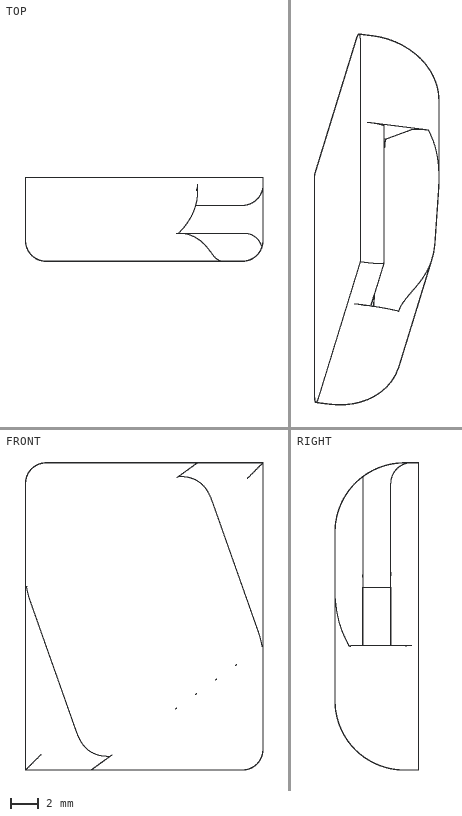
import cadquery as cq
import math

width = 17.0
depth = 6.0
height = 22.0
half_width = width / 2
half_height = height / 2

end_radius = 5.0
edge_radius = 1.5

slot_back = 2.0
slot_front = 4.0

mouth_height = 13.07
mouth_width = 12.32
lip_width = 4.62


def half_turn(shape):
    """Turn a shape to the opposite corner; the part repeats by a half turn about Y."""
    return shape.rotate((0, 0, 0), (0, 1, 0), 180)


def make_body():
    """Cover block with large end rounds and smaller rounds around both sides."""
    block = cq.Workplane("XZ").rect(width, height).extrude(depth)
    block = block.faces("<Y").edges("|X").fillet(end_radius)
    side_edges = block.faces("<X or >X").edges("not(>Y)")
    return side_edges.fillet(edge_radius)


def make_band(thickness):
    """Diagonal strap path, from the back forward."""
    wall_side_z = mouth_height - half_height
    wall_top_x = mouth_width - half_width
    outline = [
        (-half_width, wall_side_z),
        (wall_top_x, half_height),
        (half_width, half_height),
        (half_width, -wall_side_z),
        (-wall_top_x, -half_height),
        (-half_width, -half_height),
    ]
    return cq.Workplane("XZ").polyline(outline).close().extrude(thickness)


def make_plate():
    """Back plate under the slot, with rounded front edges and square corners."""
    plate = cq.Workplane("XZ").rect(width, height).extrude(slot_back)
    plate = plate.faces("<Y").edges().fillet(edge_radius)
    return plate.intersect(make_band(slot_back))


def make_lip_cutter():
    """Space outside the lower left slanted lip, leaving its inner edge rounded."""
    lip_length = math.hypot(lip_width, mouth_height)
    across = mouth_height / lip_length
    along = lip_width / lip_length
    lip_plane = cq.Plane(
        origin=(-half_width, 0, mouth_height - half_height),
        xDir=(-across, 0, -along),
        normal=(-along, 0, across),
    )
    round_end = slot_front + edge_radius
    round_offset = edge_radius * math.sqrt(0.5)
    cutter = (
        cq.Workplane(lip_plane)
        .moveTo(-edge_radius, slot_front)
        .threePointArc((round_offset - edge_radius, round_end - round_offset), (0, round_end))
        .lineTo(0, depth)
        .lineTo(width, depth)
        .lineTo(width, slot_front)
        .close()
        .extrude(height, both=True)
    )
    return cutter.intersect(make_band(depth))


lip_cutter = make_lip_cutter()
result = (
    make_body()
    .cut(make_band(slot_front))
    .cut(lip_cutter)
    .cut(half_turn(lip_cutter))
    .union(make_plate())
)